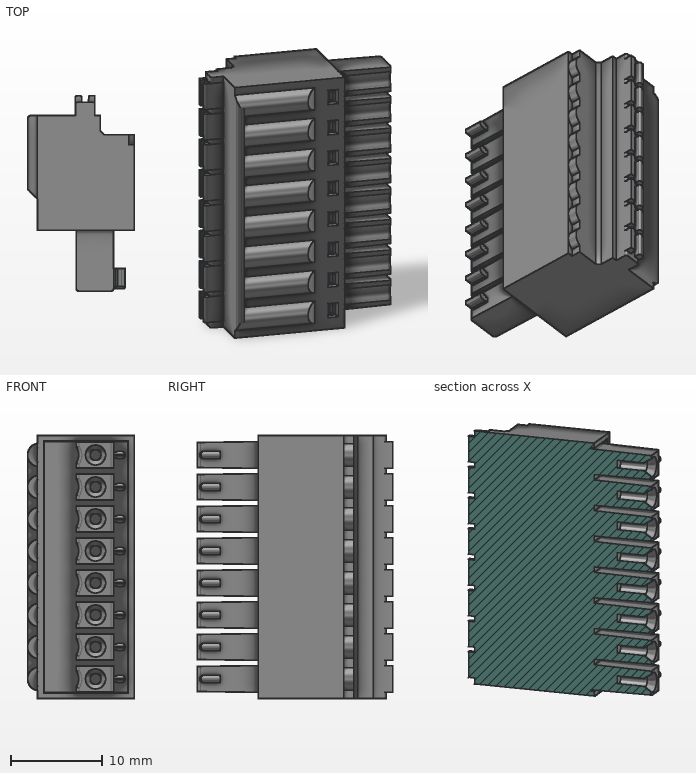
import cadquery as cq
import math


pole_count = 8
pole_pitch = 3.5
height = 28.8
overall_width = 11.7
overall_length = 21.4

rib_rise = 1.07
body_width = overall_width - rib_rise
back_y = 12.58
step_x = 6.89
step_y = 10.47
step_chamfer = 0.42

tower_left = 4.2
tower_right = 6.31
tower_back_y = 14.03
tower_edge_radius = 0.2
hook_back_y = 14.73
hook_height = 2.94
hook_left = 4.14
left_hook_width = 0.74
right_hook_base_width = 0.76
right_hook_tip_width = 0.64
hook_radius = 0.24

rib_chord = 2.54
rib_front_y = 3.44
flange_front_y = 11.8
flange_edge_radius = 0.4

bump_radius = 3.08 / 2
corner_notch_width = 0.62
corner_notch_length = 1.09

window_front_y = 0.76
window_length = 1.13
window_height = 1.61
window_depth = 0.8
window_slot_front_y = 1.13
window_slot_length = 0.48
window_slot_height = 1.24

panel_left = 0.69
panel_right = 9.95
panel_margin_z = 0.6
joint_width = 0.08
joint_depth = 0.4

pin_left = 4.24
pin_width = 4.12
pin_base_height = 2.94
pin_tip_height = 2.77
pin_base_length = 0.18
pin_tip_radius = 0.32
pin_groove_radius = 3.08 / 2
pin_groove_width = 1.77
pin_mouth_diameter = 2.2
pin_mouth_depth = 0.9
pin_bore_diameter = 1.2
pin_bore_depth = 4.0
pin_bore_x = 6.37

key_rear_y = -4.15
key_front_y = -6.4
key_neck_length = 0.22
key_neck_half = 0.3
key_shoulder = 0.42
key_half_height = 0.42
key_reach = 1.25
key_ridge_half = 0.1
key_bevel = 0.3
key_end_chamfer = 0.16

top_z = height / 2
tip_y = hook_back_y - overall_length
pin_right = pin_left + pin_width
pole_heights = [(i - (pole_count - 1) / 2) * pole_pitch for i in range(pole_count)]
first_pole_z = pole_heights[0]
last_pole_z = pole_heights[-1]
rib_radius = ((rib_chord / 2) ** 2 + rib_rise ** 2) / (2 * rib_rise)


def box(x0, x1, y0, y1, z0, z1):
    """Block between two opposite corners."""
    return cq.Workplane("XY").box(x1 - x0, y1 - y0, z1 - z0, centered=False).translate((x0, y0, z0))


def rod(radius, x, z, y0, y1):
    """Cylinder along Y."""
    return cq.Workplane("XZ", origin=(x, y1, z)).circle(radius).extrude(y1 - y0)


def make_housing():
    """Stepped prism with a rounded tower behind it."""
    housing = (
        cq.Workplane("XY", origin=(0, 0, -top_z))
        .moveTo(0, 0)
        .lineTo(body_width, 0)
        .lineTo(body_width, step_y - corner_notch_length)
        .lineTo(body_width - corner_notch_width, step_y - corner_notch_length)
        .lineTo(body_width - corner_notch_width, step_y)
        .lineTo(step_x + step_chamfer, step_y)
        .lineTo(step_x, step_y + step_chamfer)
        .lineTo(step_x, back_y)
        .lineTo(0, back_y)
        .close()
        .extrude(height)
    )
    tower = box(tower_left, tower_right, step_y, tower_back_y, -top_z, top_z)
    tower = tower.edges("|Z and >Y").fillet(tower_edge_radius)
    return housing.union(tower)


def make_left_ribs():
    """Rounded ribs, cut at 45 degrees in front, joined at the back by a flange."""
    rib_axis_x = rib_radius - rib_rise
    ribs = box(-rib_rise, 0, flange_front_y, back_y, first_pole_z, last_pole_z)
    for z in pole_heights:
        rib = rod(rib_radius, rib_axis_x, z, rib_front_y, back_y)
        ribs = ribs.union(rib)
    outline = (
        cq.Workplane("XY", origin=(0, 0, -top_z))
        .moveTo(0, rib_front_y)
        .lineTo(-rib_rise, rib_front_y + rib_rise)
        .lineTo(-rib_rise, back_y - flange_edge_radius)
        .radiusArc((-rib_rise + flange_edge_radius, back_y), flange_edge_radius)
        .lineTo(0, back_y)
        .close()
        .extrude(height)
    )
    return ribs.intersect(outline)


def make_corner_bump(z):
    """Rounded bump that fills part of the notch in the right rear corner."""
    y0 = step_y - corner_notch_length
    bump = rod(bump_radius, body_width - bump_radius, z, y0, step_y)
    notch = box(body_width - corner_notch_width, body_width, y0, step_y, z - bump_radius, z + bump_radius)
    return bump.intersect(notch)


def make_hooks(z):
    """Pair of latch hooks that stand up behind the tower."""
    z0 = z - hook_height / 2
    z1 = z + hook_height / 2
    left = box(hook_left, hook_left + left_hook_width, back_y, hook_back_y, z0, z1)
    left = left.edges("|Z and >Y").fillet(hook_radius)
    right = (
        cq.Workplane("XY", origin=(0, 0, z0))
        .moveTo(tower_right, back_y)
        .lineTo(tower_right, hook_back_y)
        .lineTo(tower_right - right_hook_tip_width, hook_back_y)
        .lineTo(tower_right - right_hook_base_width, tower_back_y)
        .lineTo(tower_right - right_hook_base_width, back_y)
        .close()
        .extrude(hook_height)
    )
    return left.union(right)


def make_window(z):
    """Window cutter: a flat pocket with a smaller, sloping slot in its floor."""
    half_window = window_height / 2
    pocket = box(0, window_depth, window_front_y, window_front_y + window_length, z - half_window, z + half_window)
    slot = (
        cq.Workplane("XY", origin=(0, 0, z - window_slot_height / 2))
        .moveTo(window_depth, window_slot_front_y)
        .lineTo(window_depth, window_slot_front_y + window_slot_length)
        .lineTo(window_depth + window_slot_length, window_slot_front_y + window_slot_length)
        .close()
        .extrude(window_slot_height)
    )
    return pocket.union(slot)


def make_panel_joint():
    """Narrow groove that frames the front panel."""
    panel_top = top_z - panel_margin_z
    outer = box(panel_left, panel_right, 0, joint_depth, -panel_top, panel_top)
    inner = box(
        panel_left + joint_width,
        panel_right - joint_width,
        0,
        joint_depth,
        -panel_top + joint_width,
        panel_top - joint_width,
    )
    return outer.cut(inner)


def make_key(z):
    """Round-headed keying rib beside a pin, bevelled at its front end."""
    key_length = key_rear_y - key_front_y
    crown_x = key_reach - key_half_height
    key = (
        cq.Workplane("XZ", origin=(pin_right, key_rear_y, z))
        .moveTo(0, key_neck_half)
        .lineTo(key_neck_length, key_neck_half)
        .lineTo(key_shoulder, key_half_height)
        .lineTo(crown_x, key_half_height)
        .threePointArc((key_reach, 0), (crown_x, -key_half_height))
        .lineTo(key_shoulder, -key_half_height)
        .lineTo(key_neck_length, -key_neck_half)
        .lineTo(0, -key_neck_half)
        .close()
        .extrude(key_length)
    )
    side_limit = (
        cq.Workplane("YZ", origin=(pin_right, 0, z))
        .moveTo(key_rear_y, key_half_height)
        .lineTo(key_front_y + key_bevel, key_half_height)
        .lineTo(key_front_y, key_ridge_half)
        .lineTo(key_front_y, -key_ridge_half)
        .lineTo(key_front_y + key_bevel, -key_half_height)
        .lineTo(key_rear_y, -key_half_height)
        .close()
        .extrude(key_reach)
    )
    end_limit = (
        box(pin_right, pin_right + key_reach, key_front_y, key_rear_y, z - key_half_height, z + key_half_height)
        .edges("<Y and >X")
        .chamfer(key_end_chamfer)
    )
    return key.intersect(side_limit).intersect(end_limit)


def make_pin(z):
    """Tapered plug pin with a groove along its left side and rounded front edges."""
    pin = (
        cq.Workplane("YZ", origin=(pin_left, 0, z))
        .moveTo(joint_depth, -pin_base_height / 2)
        .lineTo(-pin_base_length, -pin_base_height / 2)
        .lineTo(tip_y, -pin_tip_height / 2)
        .lineTo(tip_y, pin_tip_height / 2)
        .lineTo(-pin_base_length, pin_base_height / 2)
        .lineTo(joint_depth, pin_base_height / 2)
        .close()
        .extrude(pin_width)
    )
    groove_centre = math.sqrt(pin_groove_radius ** 2 - (pin_groove_width / 2) ** 2)
    groove = rod(pin_groove_radius, pin_left - groove_centre, z, tip_y, 0)
    pin = pin.cut(groove)
    pin = pin.faces("<Y").edges("|Z or %CIRCLE").fillet(pin_tip_radius)
    return pin


def make_pin_bore(z):
    """Contact bore cutter: funnel-shaped mouth, then a narrow blind hole."""
    mouth = (
        cq.Workplane("XZ", origin=(pin_bore_x, tip_y, z))
        .circle(pin_mouth_diameter / 2)
        .workplane(offset=-pin_mouth_depth)
        .circle(pin_bore_diameter / 2)
        .loft()
    )
    bore = rod(pin_bore_diameter / 2, pin_bore_x, z, tip_y, tip_y + pin_bore_depth)
    return mouth.union(bore)


result = make_housing().union(make_left_ribs()).cut(make_panel_joint())
for pole_z in pole_heights:
    result = result.union(make_corner_bump(pole_z))
    result = result.union(make_hooks(pole_z))
    result = result.cut(make_window(pole_z))
    result = result.union(make_pin(pole_z)).union(make_key(pole_z))
    result = result.cut(make_pin_bore(pole_z))